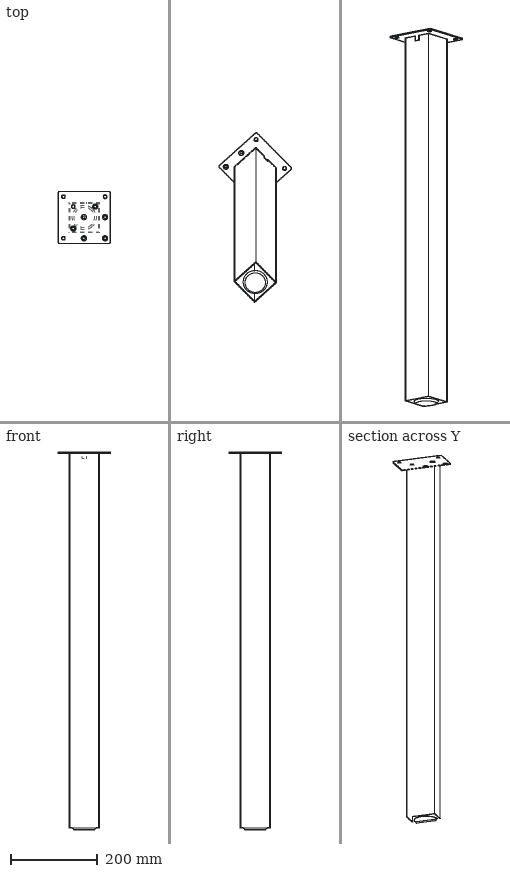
import cadquery as cq

leg_height = 870.0
plate_side = 120.0
plate_thickness = 3.0
plate_corner_radius = 3.05
tube_side = 70.0
tube_wall = 2.0
cable_notch_width = 11.0
cable_notch_depth = cable_notch_width

foot_height = 4.8
foot_bottom_diameter = 47.0
foot_top_diameter = 56.0

screw_hole_diameter = 7.0
countersink_diameter = 10.0
corner_offset = 48.0
inner_offset = 25.0

sleeve_outer_diameter = 12.0
sleeve_bore_diameter = 6.0
sleeve_near_offset = 1.0
sleeve_far_offset = corner_offset

plate_bottom = leg_height - plate_thickness
tube_length = plate_bottom - foot_height

screw_points = [
    (-corner_offset, -corner_offset),
    (-corner_offset, corner_offset),
    (corner_offset, corner_offset),
    (-inner_offset, inner_offset),
]
sleeve_points = [
    (x, -y)
    for x in (-sleeve_near_offset, sleeve_far_offset)
    for y in (-sleeve_near_offset, sleeve_far_offset)
]
sleeve_points += [(inner_offset, inner_offset), (-inner_offset, -inner_offset)]


def plate_cylinder(points, diameter):
    """Cylinders through the thickness of the plate, one at each point."""
    return (
        cq.Workplane("XY", origin=(0, 0, plate_bottom))
        .pushPoints(points)
        .circle(diameter / 2)
        .extrude(plate_thickness)
    )


def make_plate():
    """Square mounting plate with countersunk holes and seats for the sleeves."""
    plate = (
        cq.Workplane("XY", origin=(0, 0, plate_bottom))
        .rect(plate_side, plate_side)
        .extrude(plate_thickness)
        .edges("|Z")
        .fillet(plate_corner_radius)
        .cut(plate_cylinder(sleeve_points, sleeve_outer_diameter))
    )
    for x, y in screw_points:
        countersink = cq.Solid.makeCone(
            countersink_diameter / 2,
            screw_hole_diameter / 2,
            plate_thickness,
            pnt=cq.Vector(x, y, plate_bottom),
        )
        plate = plate.cut(cq.Workplane(countersink))
    return plate


def make_tube():
    """Square tube under the plate, with a notch in the top edge of its +Y wall."""
    bore_side = tube_side - 2 * tube_wall
    tube = (
        cq.Workplane("XY", origin=(0, 0, foot_height))
        .rect(tube_side, tube_side)
        .rect(bore_side, bore_side)
        .extrude(tube_length)
    )
    notch = (
        cq.Workplane("XY", origin=(0, (tube_side - tube_wall) / 2, plate_bottom))
        .rect(cable_notch_width, tube_wall)
        .extrude(-cable_notch_depth)
    )
    return tube.cut(notch)


def make_foot():
    """Foot disc with a tapered rim."""
    return (
        cq.Workplane("XY")
        .circle(foot_bottom_diameter / 2)
        .workplane(offset=foot_height)
        .circle(foot_top_diameter / 2)
        .loft()
    )


def make_sleeve(point):
    """Plain round sleeve as thick as the plate."""
    return plate_cylinder([point], sleeve_outer_diameter).cut(
        plate_cylinder([point], sleeve_bore_diameter)
    )


plate = make_plate()
tube = make_tube()
foot = make_foot()
sleeves = [make_sleeve(point) for point in sleeve_points]

result = cq.Compound.makeCompound(
    [plate.val(), tube.val(), foot.val(), *[sleeve.val() for sleeve in sleeves]]
)